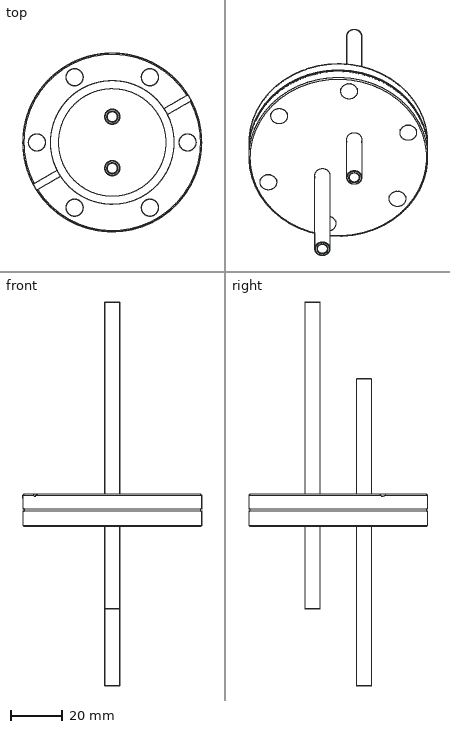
import cadquery as cq

FLANGE_DIAMETER = 69.9
FLANGE_THICKNESS = 12.8
RIM_CHAMFER = 0.52
RIM_GROOVE_DROP = 6.3
RIM_GROOVE_WIDTH = 0.9
RIM_GROOVE_DEPTH = 0.5

BOLT_COUNT = 6
BOLT_CIRCLE_DIAMETER = 58.8
BOLT_HOLE_DIAMETER = 6.6

RECESS_DIAMETER = 48.3
RECESS_DEPTH = 2.0
KNIFE_EDGE_DIAMETER = 42.0
KNIFE_EDGE_DROP = 0.6
CENTRE_DROP = 1.2

LEAK_GROOVE_WIDTH = 2.7
LEAK_GROOVE_DROP = 0.9
LEAK_GROOVE_ANGLE = 30
LEAK_GROOVE_OVERLAP = 0.8

TUBE_DIAMETER = 6.0
TUBE_BORE_DIAMETER = 3.9
TUBE_LENGTH = 120
TUBE_STAGGER = 30
TUBE_OFFSET = 10.0
TUBE_END_CHAMFER = 0.22
UPPER_TUBE_TOP = 75


def make_flange_body():
    """Revolve the flange section, including its recess and rim groove."""
    outer = FLANGE_DIAMETER / 2
    recess = RECESS_DIAMETER / 2
    knife = KNIFE_EDGE_DIAMETER / 2
    groove_half = RIM_GROOVE_WIDTH / 2
    section = [
        (0, -CENTRE_DROP),
        (knife, -CENTRE_DROP),
        (knife, -KNIFE_EDGE_DROP),
        (recess, -RECESS_DEPTH),
        (recess, 0),
        (outer - RIM_CHAMFER, 0),
        (outer, -RIM_CHAMFER),
        (outer, -RIM_GROOVE_DROP + groove_half),
        (outer - RIM_GROOVE_DEPTH, -RIM_GROOVE_DROP + groove_half),
        (outer - RIM_GROOVE_DEPTH, -RIM_GROOVE_DROP - groove_half),
        (outer, -RIM_GROOVE_DROP - groove_half),
        (outer, -FLANGE_THICKNESS + RIM_CHAMFER),
        (outer - RIM_CHAMFER, -FLANGE_THICKNESS),
        (0, -FLANGE_THICKNESS),
    ]
    return cq.Workplane("XZ").polyline(section).close().revolve(360, (0, 0), (0, 1))


def cut_bolt_holes(body):
    """Drill the ring of through holes."""
    holes = (
        cq.Workplane("XY")
        .polarArray(BOLT_CIRCLE_DIAMETER / 2, 0, 360, BOLT_COUNT)
        .circle(BOLT_HOLE_DIAMETER / 2)
        .extrude(-FLANGE_THICKNESS)
    )
    return body.cut(holes)


def cut_leak_grooves(body):
    """Cut two opposite round-bottomed grooves from the recess to the rim."""
    half_width = LEAK_GROOVE_WIDTH / 2
    inner_radius = RECESS_DIAMETER / 2 - LEAK_GROOVE_OVERLAP
    length = FLANGE_DIAMETER / 2 - inner_radius
    groove = (
        cq.Workplane("YZ")
        .workplane(offset=inner_radius)
        .moveTo(-half_width, 0)
        .threePointArc((0, -LEAK_GROOVE_DROP), (half_width, 0))
        .close()
        .extrude(length)
    )
    for angle in (LEAK_GROOVE_ANGLE, LEAK_GROOVE_ANGLE + 180):
        body = body.cut(groove.rotate((0, 0, 0), (0, 0, 1), angle))
    return body


def add_tube(body, y, top):
    """Pass a tube with chamfered ends through the flange and keep its bore open."""
    tube = (
        cq.Workplane("XY", origin=(0, y, top))
        .circle(TUBE_DIAMETER / 2)
        .circle(TUBE_BORE_DIAMETER / 2)
        .extrude(-TUBE_LENGTH)
        .edges("%CIRCLE")
        .chamfer(TUBE_END_CHAMFER)
    )
    passage = cq.Workplane("XY", origin=(0, y, 0)).circle(TUBE_BORE_DIAMETER / 2).extrude(-FLANGE_THICKNESS)
    return body.union(tube).cut(passage)


flange = cut_leak_grooves(cut_bolt_holes(make_flange_body()))
with_upper_tube = add_tube(flange, -TUBE_OFFSET, UPPER_TUBE_TOP)
result = add_tube(with_upper_tube, TUBE_OFFSET, UPPER_TUBE_TOP - TUBE_STAGGER)